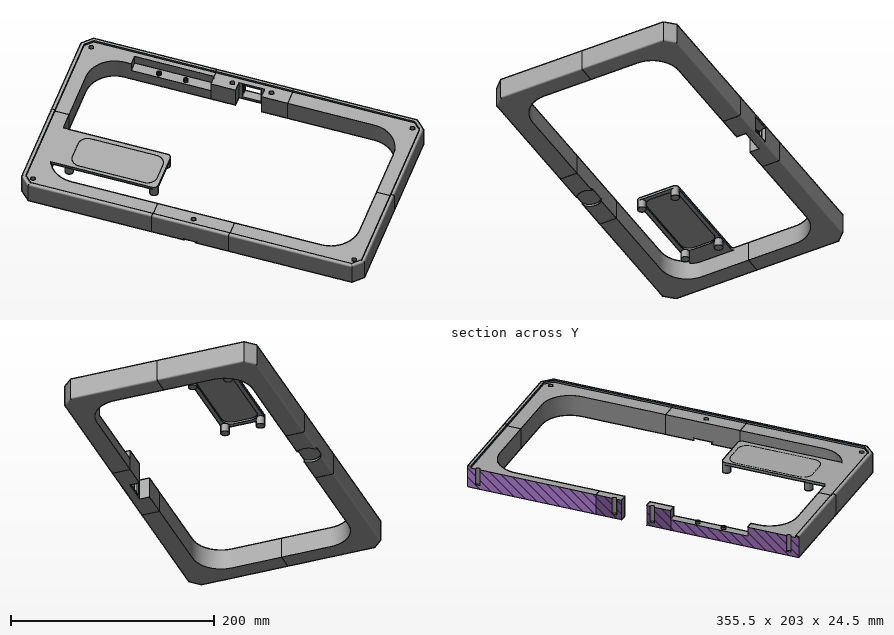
import cadquery as cq
import math

length = 355.5
width = 203.0
height = 24.5
corner_chamfer = 10.0
edge_fillet = 1.8
rim_width = 4.0
rim_height = 2.0
window_length = 318.5
window_width = 164.3
window_radius = 30.0
deck = height - rim_height
half_length = length / 2
half_width = width / 2
window_left = -window_length / 2

joint_x = 40.0

screw_diameter = 4.5
screw_depth = 17.8
corner_screw_x = 166.5
screw_y = 90.5
rear_screw_x = 20.3

foot_diameter = 25.0
foot_depth = 2.5

cutout_back = 92.5

ledge_left = -122.5
ledge_level = deck - 10.0
boss_x_positions = (-95.0, -67.2)
boss_y = 86.5
boss_diameter = 4.5
boss_height = 2.0
boss_hole_diameter = 2.7
boss_hole_depth = 5.7

notch_left = -14.2
notch_right = 12.5
opening_inset = 3.5
opening_bottom = 3.0
opening_top = 20.3
groove_depth = 1.5
groove_front = cutout_back + 1.6
groove_width = 3.2

tray_right = -47.0
tray_back = -18.0
tray_front = -64.0
tray_thickness = 3.0
tray_skin = 0.9
tray_overlap = 3.5
tray_root_fillet = 2.0
tray_pocket_radius = 10.0
post_diameter = 8.5
post_radius = post_diameter / 2
post_height = 12.0

post_x_left = -139.0
post_x_right = tray_right - post_radius
post_y_front = tray_front + post_radius
post_y_back = tray_back - post_radius


def block(x_range, y_range, z_range):
    """Box between two limits on each axis."""
    lows, highs = zip(x_range, y_range, z_range)
    sizes = [high - low for low, high in zip(lows, highs)]
    return cq.Workplane("XY").box(*sizes, centered=False).translate(lows)


def cylinders(centres, diameter, bottom, top):
    """Upright cylinders of one diameter at the given centres."""
    return (
        cq.Workplane("XY", origin=(0, 0, bottom))
        .pushPoints(centres)
        .circle(diameter / 2)
        .extrude(top - bottom)
    )


def chamfered_plate(inset, bottom, top):
    """Rectangular plate with cut corners, set in from the frame outline by an even distance."""
    leg = corner_chamfer - (2 - math.sqrt(2)) * inset
    return (
        cq.Workplane("XY", origin=(0, 0, bottom))
        .rect(length - 2 * inset, width - 2 * inset)
        .extrude(top - bottom)
        .edges("|Z")
        .chamfer(leg)
    )


def make_ring():
    """The whole frame before it is split: rounded outer edges, raised rim, window."""
    ring = chamfered_plate(0, 0, height).faces("<Z or >Z").edges().fillet(edge_fillet)
    deck_recess = chamfered_plate(rim_width, deck, height)
    window = (
        cq.Workplane("XY")
        .rect(window_length, window_width)
        .extrude(height)
        .edges("|Z")
        .fillet(window_radius)
    )
    return ring.cut(deck_recess).cut(window)


def screw_holes(centres):
    return cylinders(centres, screw_diameter, deck - screw_depth, deck)


def make_corner(ring, x_side, y_side):
    """Corner segment on the given side (-1 or 1) of each axis, with its screw hole."""
    x_range = sorted((x_side * joint_x, x_side * half_length))
    y_range = sorted((0, y_side * half_width))
    corner = ring.intersect(block(x_range, y_range, (0, height)))
    return corner.cut(screw_holes([(x_side * corner_screw_x, y_side * screw_y)]))


def make_bridge(ring, y_side):
    """Straight segment between two corners."""
    y_range = sorted((0, y_side * half_width))
    return ring.intersect(block((-joint_x, joint_x), y_range, (0, height)))


def add_tray(corner):
    """Thin tray on four posts, hollowed from below to a skin."""
    plate = block(
        (window_left - tray_overlap, tray_right),
        (tray_front, tray_back),
        (deck - tray_thickness, deck),
    )
    plate = plate.edges("|Z and >X").fillet(post_radius)
    post_centres = [(x, y) for x in (post_x_left, post_x_right) for y in (post_y_front, post_y_back)]
    posts = cylinders(post_centres, post_diameter, deck - post_height, deck - tray_thickness)
    hollow = block(
        (post_x_left, post_x_right),
        (post_y_front, post_y_back),
        (deck - tray_thickness, deck - tray_skin),
    )
    hollow = hollow.edges("|Z").fillet(tray_pocket_radius)

    root = (window_left, tray_back, deck - tray_thickness / 2)
    corner = corner.union(plate)
    corner = corner.edges(cq.selectors.NearestToPointSelector(root)).fillet(tray_root_fillet)
    return corner.union(posts).cut(hollow)


def add_ledge(corner):
    """Stepped-down ledge along the window carrying two hollow bosses."""
    centres = [(x, boss_y) for x in boss_x_positions]
    boss_top = ledge_level + boss_height
    ledge_cut = block((ledge_left, -joint_x), (0, cutout_back), (ledge_level, height))
    bosses = cylinders(centres, boss_diameter, ledge_level, boss_top)
    holes = cylinders(centres, boss_hole_diameter, boss_top - boss_hole_depth, boss_top)
    return corner.cut(ledge_cut).union(bosses).cut(holes)


def make_front_bridge(ring):
    bridge = make_bridge(ring, -1)
    foot_recess = cylinders([(0, -screw_y)], foot_diameter, 0, foot_depth)
    return bridge.cut(screw_holes([(0, -screw_y)])).cut(foot_recess)


def make_rear_bridge(ring):
    bridge = make_bridge(ring, 1).cut(screw_holes([(x, screw_y) for x in (-rear_screw_x, rear_screw_x)]))
    opening_left = notch_left + opening_inset
    opening_right = notch_right - opening_inset
    opening_height = (opening_bottom, opening_top)
    notch = block((notch_left, notch_right), (0, cutout_back), (0, height))
    opening = block((opening_left, opening_right), (cutout_back, half_width), opening_height)
    side_grooves = block(
        (opening_left - groove_depth, opening_right + groove_depth),
        (groove_front, groove_front + groove_width),
        opening_height,
    )
    return bridge.cut(notch).cut(opening).cut(side_grooves)


ring = make_ring()
left_front_corner = add_tray(make_corner(ring, -1, -1))
left_rear_corner = add_ledge(make_corner(ring, -1, 1))
right_corners = [make_corner(ring, 1, y_side) for y_side in (-1, 1)]
front_bridge = make_front_bridge(ring)
rear_bridge = make_rear_bridge(ring)

result = cq.Compound.makeCompound(
    [
        left_front_corner.val(),
        left_rear_corner.val(),
        *[corner.val() for corner in right_corners],
        front_bridge.val(),
        rear_bridge.val(),
    ]
)